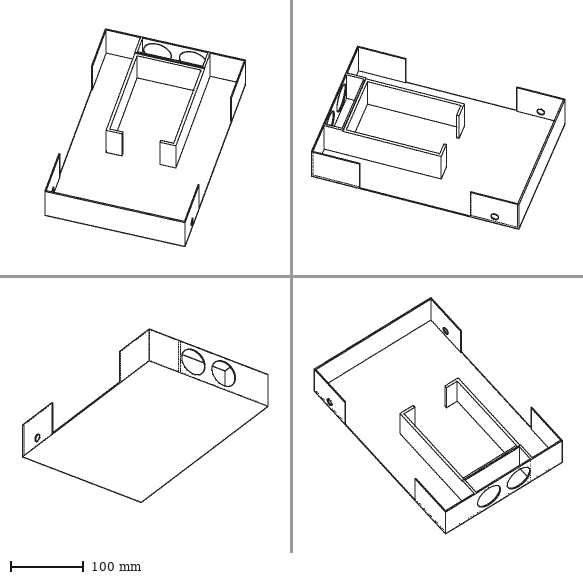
import cadquery as cq

LENGTH = 300.0
WIDTH = 200.0
HEIGHT = 52.0
FLOOR = 2.0
SIDE_WALL = 1.5
FRONT_WALL = 2.0
BACK_WALL = 1.8
SIDE_WALL_LENGTH = 70.0

CABLE_HOLE_DIAMETER = 10.8
CABLE_HOLE_Z = 13.0

VENT_DIAMETER = 39.3
VENT_SPACING = 51.0
VENT_Z = HEIGHT / 2

HOLDER_TOP = 49.8
HOLDER_WIDTH = 99.5
HOLDER_SIDE_WALL = 4.2
HOLDER_END_WALL = 3.5
HOLDER_BACK = 28.8
HOLDER_FRONT = 171.0
MOUTH_WIDTH = 54.0
COMPARTMENT_WALL = 3.3
COMPARTMENT_FRONT_WALL = 2.0

BACK_Y = LENGTH / 2
FRONT_Y = -LENGTH / 2


def block(x_min, x_max, y_min, y_max, z_min, z_max):
    """Box spanning the given limits."""
    size = (x_max - x_min, y_max - y_min, z_max - z_min)
    return cq.Workplane("XY").box(*size, centered=False).translate((x_min, y_min, z_min))


def tray():
    """Floor with end walls and four short side walls at the corners."""
    half = WIDTH / 2
    body = block(-half, half, FRONT_Y, BACK_Y, 0, HEIGHT)
    inside = half - SIDE_WALL
    body = body.cut(block(-inside, inside, FRONT_Y + FRONT_WALL, BACK_Y - BACK_WALL, FLOOR, HEIGHT))
    side_gap_front = FRONT_Y + SIDE_WALL_LENGTH
    side_gap_back = BACK_Y - SIDE_WALL_LENGTH
    return body.cut(block(-half, half, side_gap_front, side_gap_back, FLOOR, HEIGHT))


def holder():
    """Rectangular enclosure with a mouth in the middle of its front wall."""
    half = HOLDER_WIDTH / 2
    front = BACK_Y - HOLDER_FRONT
    back = BACK_Y - HOLDER_BACK
    inside = half - HOLDER_SIDE_WALL
    walls = block(-half, half, front, back, FLOOR, HOLDER_TOP)
    inside_front = front + HOLDER_END_WALL
    inside_back = back - HOLDER_END_WALL
    walls = walls.cut(block(-inside, inside, inside_front, inside_back, FLOOR, HOLDER_TOP))
    mouth = MOUTH_WIDTH / 2
    return walls.cut(block(-mouth, mouth, front, inside_front, FLOOR, HOLDER_TOP))


def compartment():
    """Walled space between the holder and the back wall, as tall as the tray."""
    half = HOLDER_WIDTH / 2
    front = BACK_Y - HOLDER_BACK
    back = BACK_Y - BACK_WALL
    inside = half - COMPARTMENT_WALL
    walls = block(-half, half, front, back, FLOOR, HEIGHT)
    return walls.cut(block(-inside, inside, front + COMPARTMENT_FRONT_WALL, back, FLOOR, HEIGHT))


def cable_holes():
    """Cylinder across the full width, centred along the front side walls."""
    hole_y = FRONT_Y + SIDE_WALL_LENGTH / 2
    plane = cq.Workplane("YZ").center(hole_y, CABLE_HOLE_Z)
    return plane.circle(CABLE_HOLE_DIAMETER / 2).extrude(WIDTH / 2, both=True)


def vents():
    """Two cylinders through the back wall."""
    plane = cq.Workplane("XZ", origin=(0, BACK_Y, 0))
    centres = [(side * VENT_SPACING / 2, VENT_Z) for side in (-1, 1)]
    return plane.pushPoints(centres).circle(VENT_DIAMETER / 2).extrude(BACK_WALL)


result = tray().union(holder()).union(compartment())
result = result.cut(cable_holes()).cut(vents())